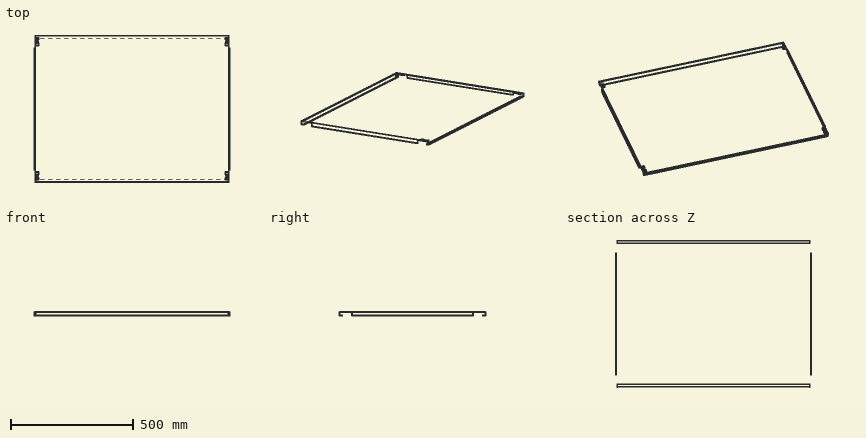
import cadquery as cq

length = 799.0
width = 600.0
height = 15.0

sheet = 2.0
bend_radius = 4.0
panel_length = 793.0
lip_inset = 1.5
lip_depth = 12.0
side_flange_length = 497.0
side_corner_radius = 3.0

hole_x = 388.0
outer_slot_y = 287.0
outer_slot_size = (10.0, 8.0)
round_hole_y = 274.0
round_hole_diameter = 5.5
square_hole_y = 264.0
square_hole_size = (10.0, 10.0)


def make_channel():
    """Panel with front and rear edges folded into inward-facing lips."""
    outer = (
        cq.Workplane("YZ")
        .rect(width, height)
        .extrude(panel_length)
        .edges("|X")
        .fillet(bend_radius)
    )
    inner = (
        cq.Workplane("YZ")
        .rect(width - 2 * sheet, height - 2 * sheet)
        .extrude(panel_length)
        .edges("|X")
        .fillet(bend_radius - sheet)
    )
    lip_gap = (
        cq.Workplane("YZ")
        .center(0, -height / 2)
        .rect(width - 2 * lip_depth, height)
        .extrude(panel_length)
    )
    channel = outer.cut(inner.union(lip_gap)).translate((-panel_length / 2, 0, height / 2))
    wall_height = height - bend_radius
    end_notches = (
        cq.Workplane("XY")
        .pushPoints([(-panel_length / 2, 0), (panel_length / 2, 0)])
        .rect(2 * lip_inset, width)
        .extrude(wall_height)
    )
    return channel.cut(end_notches)


def make_side_flange():
    """Downward flange on the -X side, overlapping the panel at its fold."""
    outer_x = -length / 2
    inner_x = outer_x + sheet
    bend_end_x = outer_x + bend_radius
    bend_start_z = height - bend_radius
    overlap_x = bend_end_x + sheet
    flange = (
        cq.Workplane("XZ")
        .moveTo(outer_x, 0)
        .lineTo(outer_x, bend_start_z)
        .radiusArc((bend_end_x, height), bend_radius)
        .lineTo(overlap_x, height)
        .lineTo(overlap_x, height - sheet)
        .lineTo(bend_end_x, height - sheet)
        .radiusArc((inner_x, bend_start_z), -(bend_radius - sheet))
        .lineTo(inner_x, 0)
        .close()
        .extrude(side_flange_length / 2, both=True)
    )
    rounded_outline = (
        cq.Workplane("YZ")
        .rect(side_flange_length, 2 * height)
        .extrude(length, both=True)
        .translate((0, 0, height))
        .edges("|X and <Z")
        .fillet(side_corner_radius)
    )
    return flange.intersect(rounded_outline)


def corner_points(y):
    return [(sx * hole_x, sy * y) for sx in (-1, 1) for sy in (-1, 1)]


def make_hole_cutters():
    """Three openings through the panel at each corner, clear of the lips."""
    base = cq.Workplane("XY").workplane(offset=height - 2 * sheet)
    depth = 3 * sheet
    slots = base.pushPoints(corner_points(outer_slot_y)).rect(*outer_slot_size).extrude(depth)
    rounds = base.pushPoints(corner_points(round_hole_y)).circle(round_hole_diameter / 2).extrude(depth)
    squares = base.pushPoints(corner_points(square_hole_y)).rect(*square_hole_size).extrude(depth)
    return slots, rounds, squares


side_flange = make_side_flange()
result = make_channel().union(side_flange).union(side_flange.mirror("YZ"))
for cutter in make_hole_cutters():
    result = result.cut(cutter)